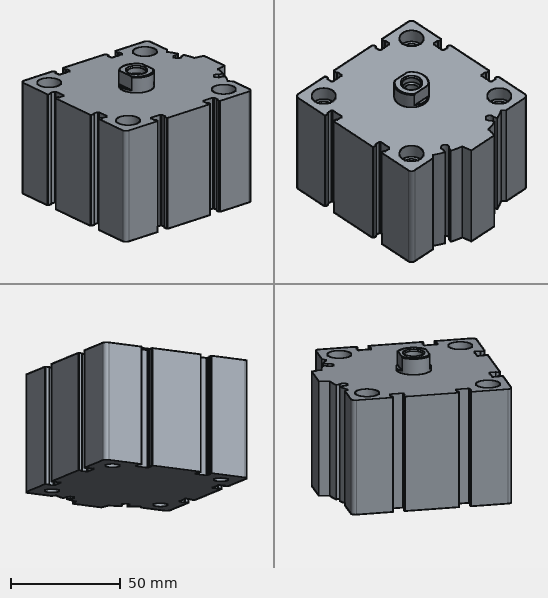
import cadquery as cq
import math

block_side = 75.0
half_side = block_side / 2
housing_height = 55.0
overall_length = 83.5
overall_height = 63.0
corner_radius = 2.0

rail_top = overall_length - half_side
rail_top_half_width = 7.4
rail_foot_half_width = 8.4
shoulder_radius = 42.0
notch_half_width = 22.0
notch_edge_half_width = 23.55

groove_angle = 21.8
groove_neck_tilt = 20.0
groove_center_radius = 38.75
groove_diameter = 3.7
groove_neck_width = 2.8

slot_offset = 15.45
slot_depth = 5.0
slot_mouth_depth = 2.0
slot_mouth_width = 5.3
slot_edge_chamfer = 0.3
slot_channel_width = 6.5
slot_floor_chamfer = 0.4

mount_spacing = 56.5
mount_offset = mount_spacing / 2
mount_hole_diameter = 6.7
mount_cone_diameter = 7.9
mount_bore_diameter = 11.0
mount_bore_depth = 6.7
mount_cone_depth = (mount_cone_diameter - mount_hole_diameter) / 2

rod_diameter = 16.0
rod_flat_width = 13.0
rod_flat_rise = 1.2
rod_chamfer = 0.4
rod_seat_depth = 10.0
rod_seat_floor = housing_height - rod_seat_depth

socket_mouth_diameter = 9.9
socket_diameter = 8.6
socket_step_depth = 3.4
socket_drill_diameter = 6.8
socket_drill_depth = 10.0
drill_point_angle = 118.0


def cone_depth(radius_change):
    """Depth of a drill-point cone over the given change of radius."""
    return radius_change / math.tan(math.radians(drill_point_angle / 2))


def shoulder_point(x):
    return x, math.sqrt(shoulder_radius**2 - x**2)


def housing_blank():
    square = cq.Workplane("XY").rect(block_side, block_side).extrude(housing_height)
    square = square.edges("|Z").fillet(corner_radius)
    notch_clearance = (
        cq.Workplane("XY")
        .moveTo(-notch_edge_half_width, half_side)
        .lineTo(*shoulder_point(-notch_half_width))
        .lineTo(*shoulder_point(notch_half_width))
        .lineTo(notch_edge_half_width, half_side)
        .close()
        .extrude(housing_height)
    )
    rail = (
        cq.Workplane("XY")
        .moveTo(*shoulder_point(-notch_half_width))
        .threePointArc(
            shoulder_point(-(notch_half_width + rail_foot_half_width) / 2),
            shoulder_point(-rail_foot_half_width),
        )
        .lineTo(-rail_top_half_width, rail_top)
        .lineTo(rail_top_half_width, rail_top)
        .lineTo(*shoulder_point(rail_foot_half_width))
        .threePointArc(
            shoulder_point((notch_half_width + rail_foot_half_width) / 2),
            shoulder_point(notch_half_width),
        )
        .close()
        .extrude(housing_height)
    )
    return square.cut(notch_clearance).union(rail)


def sensor_groove():
    """Groove with a round floor and an open neck, on the +X shoulder."""
    angle = math.radians(groove_angle)
    center_x = groove_center_radius * math.sin(angle)
    center_y = groove_center_radius * math.cos(angle)
    neck_length = 2 * groove_diameter
    floor = cq.Workplane("XY").circle(groove_diameter / 2).extrude(housing_height)
    neck = (
        cq.Workplane("XY")
        .rect(groove_neck_width, neck_length)
        .extrude(housing_height)
        .translate((0, neck_length / 2, 0))
    )
    groove = floor.union(neck).rotate((0, 0, 0), (0, 0, 1), -groove_neck_tilt)
    return groove.translate((center_x, center_y, 0))


def profile_slot(offset, side_angle):
    """Full-height chamfered slot, shaped in the -Y face and turned about the rod axis."""
    half_mouth = slot_mouth_width / 2
    half_entry = half_mouth + slot_edge_chamfer
    mouth = (
        cq.Workplane("XY", origin=(offset, -half_side, 0))
        .moveTo(-half_entry, 0)
        .lineTo(-half_mouth, slot_edge_chamfer)
        .lineTo(-half_mouth, slot_mouth_depth)
        .lineTo(half_mouth, slot_mouth_depth)
        .lineTo(half_mouth, slot_edge_chamfer)
        .lineTo(half_entry, 0)
        .close()
        .extrude(housing_height)
    )
    channel_length = slot_depth - slot_mouth_depth
    channel = (
        cq.Workplane("XY")
        .center(offset, -half_side + slot_mouth_depth + channel_length / 2)
        .rect(slot_channel_width, channel_length)
        .extrude(housing_height)
        .faces(">Y")
        .edges("|Z")
        .chamfer(slot_floor_chamfer)
    )
    return mouth.union(channel).rotate((0, 0, 0), (0, 0, 1), side_angle)


def mounting_hole(x, y):
    """Through hole, countersunk at the floor of a counterbore."""
    bore_floor = housing_height - mount_bore_depth
    return (
        cq.Workplane("XZ")
        .moveTo(0, 0)
        .lineTo(mount_hole_diameter / 2, 0)
        .lineTo(mount_hole_diameter / 2, bore_floor - mount_cone_depth)
        .lineTo(mount_cone_diameter / 2, bore_floor)
        .lineTo(mount_bore_diameter / 2, bore_floor)
        .lineTo(mount_bore_diameter / 2, housing_height)
        .lineTo(0, housing_height)
        .close()
        .revolve(360, (0, 0, 0), (0, 1, 0))
        .translate((x, y, 0))
    )


def make_housing():
    body = housing_blank()
    groove = sensor_groove()
    body = body.cut(groove).cut(groove.mirror("YZ"))
    for side_angle in (-90, 0, 90):
        for offset in (-slot_offset, slot_offset):
            body = body.cut(profile_slot(offset, side_angle))
    for x in (-mount_offset, mount_offset):
        for y in (-mount_offset, mount_offset):
            body = body.cut(mounting_hole(x, y))
    rod_seat = (
        cq.Workplane("XY", origin=(0, 0, rod_seat_floor))
        .circle(rod_diameter / 2)
        .extrude(rod_seat_depth)
    )
    return body.cut(rod_seat)


def rod_socket():
    """Chamfered socket stepping down to a drilled hole with a conical end."""
    mouth_radius = socket_mouth_diameter / 2
    socket_radius = socket_diameter / 2
    drill_radius = socket_drill_diameter / 2
    step_z = overall_height - socket_step_depth
    drill_z = overall_height - socket_drill_depth
    return (
        cq.Workplane("XZ")
        .moveTo(0, overall_height)
        .lineTo(mouth_radius, overall_height)
        .lineTo(socket_radius, overall_height - (mouth_radius - socket_radius))
        .lineTo(socket_radius, step_z)
        .lineTo(drill_radius, step_z - cone_depth(socket_radius - drill_radius))
        .lineTo(drill_radius, drill_z)
        .lineTo(0, drill_z - cone_depth(drill_radius))
        .close()
        .revolve(360, (0, 0, 0), (0, 1, 0))
    )


def make_rod():
    shaft = (
        cq.Workplane("XY", origin=(0, 0, rod_seat_floor))
        .circle(rod_diameter / 2)
        .extrude(overall_height - rod_seat_floor)
        .faces(">Z")
        .chamfer(rod_chamfer)
    )
    flat_base = housing_height + rod_flat_rise
    flat_cut_width = rod_diameter - rod_flat_width
    for side in (-1, 1):
        flat_cut = (
            cq.Workplane("XY", origin=(0, 0, flat_base))
            .center(0, side * (rod_flat_width + flat_cut_width) / 2)
            .rect(rod_diameter, flat_cut_width)
            .extrude(overall_height - flat_base)
        )
        shaft = shaft.cut(flat_cut)
    return shaft.cut(rod_socket())


housing = make_housing()
rod = make_rod()
result = cq.Compound.makeCompound([housing.val(), rod.val()])